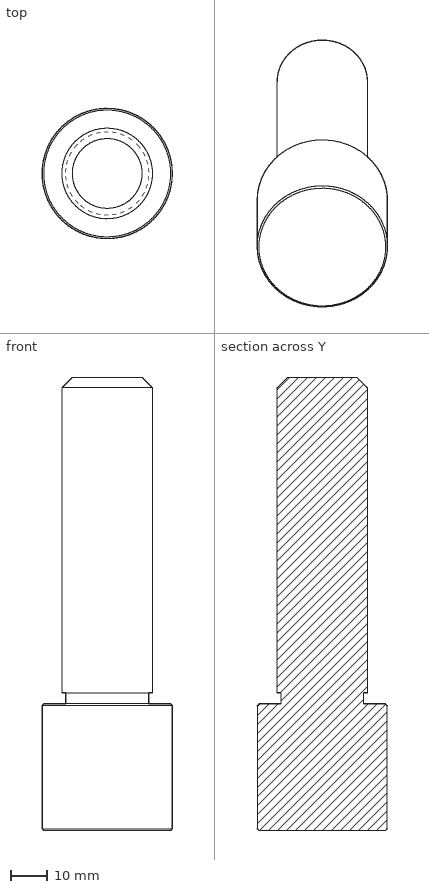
import cadquery as cq

total_length = 125.0
head_diameter = 36.0
head_length = 35.0
head_chamfer = 0.5

shank_diameter = 25.0
tip_chamfer = 2.9
neck_diameter = 23.0
neck_length = 3.0

head = (
    cq.Workplane("XY")
    .circle(head_diameter / 2)
    .extrude(head_length)
    .edges()
    .chamfer(head_chamfer)
)

neck = (
    cq.Workplane("XY")
    .workplane(offset=head_length)
    .circle(neck_diameter / 2)
    .extrude(neck_length)
)

shank_start = head_length + neck_length
shank = (
    cq.Workplane("XY")
    .workplane(offset=shank_start)
    .circle(shank_diameter / 2)
    .extrude(total_length - shank_start)
    .faces(">Z")
    .edges()
    .chamfer(tip_chamfer)
)

result = head.union(neck).union(shank)